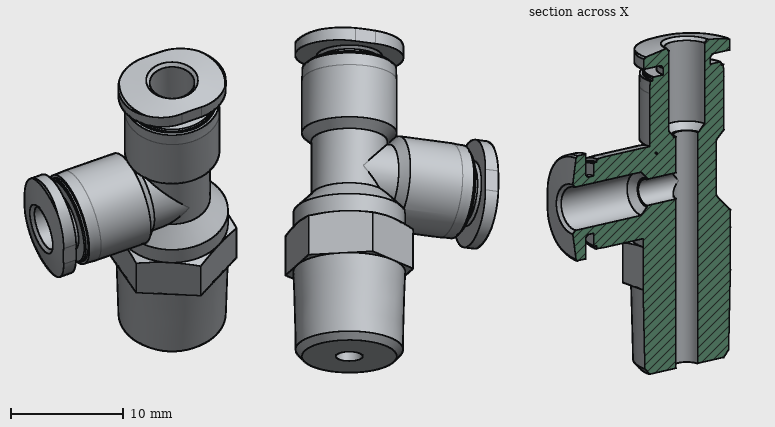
import cadquery as cq
import math

height = 30.0
depth = 18.0
hex_flats = 10.0
reach = depth - hex_flats / 2
branch_z = height - reach
hex_bottom = 8.0
hex_top = 12.0
hex_chamfer_drop = 0.27
collar_radius = hex_flats / 2
thread_end_radius = 4.8
thread_chamfer_height = 0.63
tip_radius = 4.23
collar_top = 13.62
shoulder_top = 15.25
pipe_radius = 3.4

sleeve_radius = 8.5 / 2
sleeve_cone_start = 3.42
sleeve_start = 4.2
sleeve_end = 9.18
ring_radius = 4.2
ring_end = 10.3
lip_radius = 3.93
lip_end = 10.62
lip_chamfer = 0.12
neck_radius = 5.4 / 2
neck_flare_start = 11.22
neck_flare_radius = 2.95

cap_bottom = 11.5
cap_width = 7.85
cap_length = 9.8
cap_face_radius = 2.3
cap_rim_height = 12.48
cap_shoulder_radius = 4.7
cap_shoulder_height = 12.63

tube_radius = 4.0 / 2
tube_depth = 7.8
tube_seat_radius = 1.35
tube_seat_height = 0.65
seat_top = reach - tube_depth
seat_bottom = seat_top - tube_seat_height
flow_radius = 2.4 / 2
mouth_depth = 0.3


def revolve(profile):
    """Turn a list of (radius, height) points about the Z axis."""
    return cq.Workplane("YZ").polyline(profile).close().revolve(360, (0, 0, 0), (0, 1, 0))


def make_stem():
    return revolve([
        (0, 0),
        (tip_radius, 0),
        (thread_end_radius, thread_chamfer_height),
        (collar_radius, hex_bottom),
        (collar_radius, collar_top),
        (pipe_radius, shoulder_top),
        (pipe_radius, branch_z),
        (0, branch_z),
    ])


def make_hexagon():
    corner_radius = hex_flats / math.sqrt(3)
    hexagon = (
        cq.Workplane("XY", origin=(0, 0, hex_bottom))
        .polygon(6, 2 * corner_radius)
        .extrude(hex_top - hex_bottom)
    )
    chamfer_envelope = revolve([
        (0, hex_bottom),
        (corner_radius, hex_bottom),
        (corner_radius, hex_top - hex_chamfer_drop),
        (collar_radius, hex_top),
        (0, hex_top),
    ])
    return hexagon.intersect(chamfer_envelope)


def make_cap():
    outline = (
        cq.Workplane("XY", origin=(0, 0, cap_bottom))
        .slot2D(cap_length, cap_width, 90)
        .extrude(reach - cap_bottom)
    )
    face_envelope = revolve([
        (0, cap_bottom),
        (cap_length / 2, cap_bottom),
        (cap_length / 2, cap_rim_height),
        (cap_shoulder_radius, cap_shoulder_height),
        (cap_face_radius, reach),
        (0, reach),
    ])
    return outline.intersect(face_envelope)


def make_port():
    """Solid tube port along +Z, starting where the port axes cross."""
    sleeve = revolve([
        (0, 0),
        (pipe_radius, 0),
        (pipe_radius, sleeve_cone_start),
        (sleeve_radius, sleeve_start),
        (sleeve_radius, sleeve_end),
        (ring_radius, ring_end),
        (lip_radius, ring_end),
        (lip_radius, lip_end - lip_chamfer),
        (lip_radius - lip_chamfer, lip_end),
        (neck_radius, lip_end),
        (neck_radius, neck_flare_start),
        (neck_flare_radius, cap_bottom),
        (0, cap_bottom),
    ])
    return sleeve.union(make_cap())


def make_port_socket():
    """Tube socket with a conical seat."""
    return revolve([
        (0, seat_bottom),
        (tube_seat_radius, seat_bottom),
        (tube_radius, seat_top),
        (tube_radius, reach - mouth_depth),
        (cap_face_radius, reach),
        (0, reach),
    ])


def place_upper(port_shape):
    return port_shape.translate((0, 0, branch_z))


def place_branch(port_shape):
    """Turn a port shape to point along -Y, then raise it to the branch axis."""
    return place_upper(port_shape.rotate((0, 0, 0), (1, 0, 0), 90))


result = make_stem().union(make_hexagon())
for place in (place_upper, place_branch):
    result = result.union(place(make_port()))
for place in (place_upper, place_branch):
    result = result.cut(place(make_port_socket()))

stem_bore = cq.Workplane("XY").circle(flow_radius).extrude(branch_z + seat_bottom)
branch_bore = cq.Workplane("XY").circle(flow_radius).extrude(seat_bottom)
result = result.cut(stem_bore).cut(place_branch(branch_bore))